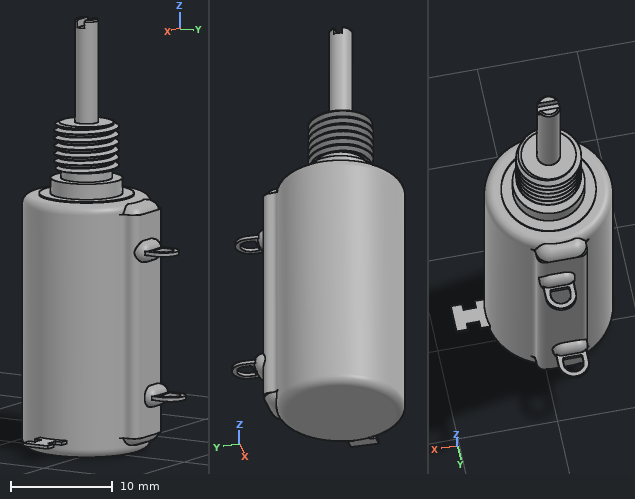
import cadquery as cq
import math

case_radius = 6.35
case_top = 25.3
case_round = 0.9
end_disc_radius = 4.68
end_disc_top = 25.45

collar_radius = 3.55
collar_top = 27.0
neck_radius = 2.55
thread_bottom = 27.95
thread_top = 32.55
thread_root_radius = 2.7
thread_crest_radius = 3.2
thread_pitch = 0.77
thread_crest_width = 0.1
thread_flank_angle = 30
thread_lead_in = 0.35
shaft_radius = 1.15
shaft_top = 42.9
shaft_chamfer = 0.17
slot_width = 0.85
slot_depth = 0.77

housing_half_width = 2.55
housing_back = 7.42
housing_front = 4.3
housing_edge_round = 0.8
housing_straight_bottom = 1.9
housing_straight_top = 24.3
crown_inset = 1.35
crown_height = 0.85
flare_start = 6.2

terminal_offset = 0.65
upper_terminal_height = 20.55
lower_terminal_height = 5.85
mound_length = 3.5
mound_width = 2.15
mound_round = 0.85
mound_top = 8.35
mound_base = 6.85
loop_outer_radius = 1.5
loop_inner_radius = 1.0
loop_end = 10.85
loop_window_start = 8.62
loop_window_round = 0.2
loop_thickness = 0.4

tab_height = 1.65
tab_thickness = 0.3
tab_end = 9.52
tab_neck_start = 7.1
tab_head_start = 8.35
tab_root_width = 3.1
tab_neck_width = 1.6
tab_head_width = 2.87
tab_embed = 1.3

overlap = 0.2


def disc(radius, bottom, top):
    """Cylinder on the Z axis between two heights."""
    return cq.Workplane("XY").workplane(offset=bottom).circle(radius).extrude(top - bottom)


def make_case():
    case = disc(case_radius, 0, case_top).edges().fillet(case_round)
    return case.union(disc(end_disc_radius, case_top - overlap, end_disc_top))


def make_thread():
    """Right-handed V thread, trimmed flat at the bottom and tapered at the top."""
    root = thread_root_radius - overlap
    crest_half = thread_crest_width / 2
    flank_slope = math.tan(math.radians(thread_flank_angle))
    root_half = crest_half + (thread_crest_radius - root) * flank_slope
    start = thread_bottom - thread_pitch
    length = thread_top - thread_bottom + 2 * thread_pitch
    path = cq.Workplane("XY").add(
        cq.Wire.makeHelix(thread_pitch, length, thread_root_radius, center=cq.Vector(0, 0, start))
    )
    ridge = (
        cq.Workplane("XZ")
        .polyline([
            (root, start - root_half),
            (thread_crest_radius, start - crest_half),
            (thread_crest_radius, start + crest_half),
            (root, start + root_half),
        ])
        .close()
        .sweep(path, isFrenet=True)
    )
    envelope = disc(thread_crest_radius + overlap, thread_bottom, thread_top)
    lead_in_width = thread_crest_radius + overlap - thread_root_radius
    envelope = envelope.faces(">Z").chamfer(thread_lead_in, lead_in_width)
    return disc(thread_root_radius, thread_bottom, thread_top).union(ridge.intersect(envelope))


def make_shaft():
    shaft = disc(shaft_radius, thread_top - overlap, shaft_top).faces(">Z").chamfer(shaft_chamfer)
    slot = (
        cq.Workplane("XY")
        .workplane(offset=shaft_top - slot_depth)
        .rect(3 * shaft_radius, slot_width)
        .extrude(slot_depth)
    )
    return shaft.cut(slot)


def crown_quarter(plane, origin=(0, 0, 0)):
    """Quarter outline that curves from the rim of the crown up to its flat crest."""
    middle = (crown_inset * math.sqrt(0.5), crown_height * math.sqrt(0.5))
    return (
        cq.Workplane(plane, origin=origin)
        .lineTo(crown_inset, 0)
        .threePointArc(middle, (0, crown_height))
        .close()
    )


def make_crown():
    """Upper end of the housing: domed at its two corners and arched between them."""
    corner_x = housing_half_width - crown_inset
    corner_y = housing_back - crown_inset
    straight = corner_y - housing_front
    flat = cq.Workplane("XY").box(corner_x, straight, crown_height, centered=False)
    flat = flat.translate((0, housing_front, 0))
    back_arch = crown_quarter("YZ", (0, corner_y, 0)).extrude(corner_x)
    side_arch = crown_quarter("XZ", (corner_x, corner_y, 0)).extrude(straight)
    dome = crown_quarter("XZ").revolve(360, (0, 0), (0, 1)).translate((corner_x, corner_y, 0))
    half_crown = flat.union(back_arch).union(side_arch).union(dome)
    return half_crown.union(half_crown.mirror("YZ")).clean()


def make_housing():
    """Rounded bar with crowned ends and concave flares where it meets the case."""
    bar = (
        cq.Workplane("XY")
        .workplane(offset=housing_straight_bottom)
        .moveTo(0, (housing_front + housing_back) / 2)
        .rect(2 * housing_half_width, housing_back - housing_front)
        .extrude(housing_straight_top - housing_straight_bottom)
        .edges("|Z and >Y")
        .fillet(housing_edge_round)
    )
    crown = make_crown()
    upper_crown = crown.translate((0, 0, housing_straight_top))
    lower_crown = crown.mirror("XY").translate((0, 0, housing_straight_bottom))
    return bar.union(upper_crown).union(lower_crown).union(make_flares())


def make_flares():
    """Fillets tangent to the housing sides and to the round case."""
    half = housing_half_width
    radius = (half**2 + flare_start**2 - case_radius**2) / (2 * (case_radius - half))
    centre_x = half + radius
    to_case = case_radius / math.hypot(centre_x, flare_start)
    landing = (centre_x * to_case, flare_start * to_case)
    start_angle = math.pi
    end_angle = math.pi + math.atan2(flare_start, centre_x)
    middle_angle = (start_angle + end_angle) / 2
    middle = (centre_x + radius * math.cos(middle_angle), flare_start + radius * math.sin(middle_angle))
    flare = (
        cq.Workplane("XY")
        .workplane(offset=housing_straight_bottom)
        .moveTo(half - overlap, flare_start)
        .lineTo(half, flare_start)
        .threePointArc(middle, landing)
        .lineTo(landing[0], housing_front)
        .lineTo(half - overlap, housing_front)
        .close()
        .extrude(housing_straight_top - housing_straight_bottom)
    )
    return flare.union(flare.mirror("YZ"))


def loop_outline(radius, start, arc_centre):
    """Flat plate with straight sides and a semicircular far end."""
    return (
        cq.Workplane("XY")
        .moveTo(-radius, start)
        .lineTo(radius, start)
        .lineTo(radius, arc_centre)
        .threePointArc((0, arc_centre + radius), (-radius, arc_centre))
        .close()
        .extrude(loop_thickness / 2, both=True)
    )


def make_terminal(x, z):
    mound = (
        cq.Workplane("XZ", origin=(x, mound_base, z))
        .slot2D(mound_length, mound_width)
        .extrude(mound_base - mound_top)
        .faces(">Y")
        .edges()
        .fillet(mound_round)
    )
    arc_centre = loop_end - loop_outer_radius
    plate = loop_outline(loop_outer_radius, mound_base, arc_centre)
    window = loop_outline(loop_inner_radius, loop_window_start, arc_centre)
    window = window.edges("|Z and <Y").fillet(loop_window_round)
    loop = plate.cut(window).translate((x, 0, z))
    return mound.union(loop)


def make_tab():
    root = tab_root_width / 2
    neck = tab_neck_width / 2
    head = tab_head_width / 2
    edge = [
        (case_radius - tab_embed, root),
        (tab_neck_start, root),
        (tab_neck_start, neck),
        (tab_head_start, neck),
        (tab_head_start, head),
        (tab_end, head),
    ]
    mirrored_edge = [(x, -y) for x, y in reversed(edge)]
    return (
        cq.Workplane("XY")
        .workplane(offset=tab_height - tab_thickness / 2)
        .polyline(edge + mirrored_edge)
        .close()
        .extrude(tab_thickness)
    )


result = (
    make_case()
    .union(disc(collar_radius, case_top, collar_top))
    .union(disc(neck_radius, case_top, thread_bottom + overlap))
    .union(make_thread())
    .union(make_shaft())
    .union(make_housing())
    .union(make_terminal(terminal_offset, upper_terminal_height))
    .union(make_terminal(-terminal_offset, lower_terminal_height))
    .union(make_tab())
)